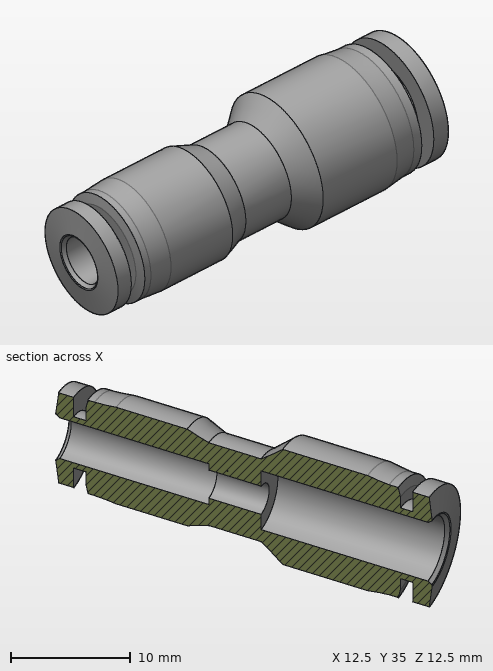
import cadquery as cq


total_length = 34.95
waist_dia = 9.0
waist_length = 4.85
through_hole_dia = 3.0
end_taper_length = 2.0
shoulder_length = 2.0
body_end_rise = 0.2
body_end_cone_width = 0.95

collar_crown = 0.28
neck_gap = 1.1
mouth_chamfer_depth = 0.4
mouth_lip = 0.12
mouth_lip_depth = 0.06

large_end = {
    "collar_dia": 11.9,
    "collar_back": 1.85,
    "neck_dia": 7.7,
    "rim_dia": 11.95,
    "rim_length": 0.85,
    "barrel_dia": 12.5,
    "mouth_dia": 7.1,
    "bore_dia": 6.3,
}
small_end = {
    "collar_dia": 9.8,
    "collar_back": 1.7,
    "neck_dia": 5.6,
    "rim_dia": 10.15,
    "rim_length": 0.65,
    "barrel_dia": 10.5,
    "mouth_dia": 5.1,
    "bore_dia": 4.35,
}

half_length = total_length / 2
large_waist_y = 1.6
small_waist_y = large_waist_y - waist_length


def outer_profile(end, waist_distance):
    """(radius, distance from the outer end) from the mouth inward to the waist."""
    body_face = end["collar_back"] + neck_gap
    rim_start = body_face + body_end_rise
    taper_start = rim_start + end["rim_length"]
    return [
        (end["mouth_dia"] / 2, 0),
        (end["collar_dia"] / 2, collar_crown),
        (end["collar_dia"] / 2, end["collar_back"]),
        (end["neck_dia"] / 2, end["collar_back"]),
        (end["neck_dia"] / 2, body_face),
        (end["rim_dia"] / 2 - body_end_cone_width, body_face),
        (end["rim_dia"] / 2, rim_start),
        (end["rim_dia"] / 2, taper_start),
        (end["barrel_dia"] / 2, taper_start + end_taper_length),
        (end["barrel_dia"] / 2, waist_distance - shoulder_length),
        (waist_dia / 2, waist_distance),
    ]


def bore_profile(end, waist_distance):
    """(radius, distance from the outer end) of the tube socket, mouth to tube stop."""
    return [
        (end["mouth_dia"] / 2, 0),
        (end["mouth_dia"] / 2 - mouth_lip, mouth_lip_depth),
        (end["bore_dia"] / 2, mouth_chamfer_depth),
        (end["bore_dia"] / 2, waist_distance),
        (through_hole_dia / 2, waist_distance),
    ]


def at_large_end(profile):
    return [(radius, half_length - distance) for radius, distance in profile]


def at_small_end(profile):
    return [(radius, distance - half_length) for radius, distance in profile]


large_waist_distance = half_length - large_waist_y
small_waist_distance = half_length + small_waist_y

large_outer = at_large_end(outer_profile(large_end, large_waist_distance))
small_outer = at_small_end(outer_profile(small_end, small_waist_distance))
large_bore = at_large_end(bore_profile(large_end, large_waist_distance))
small_bore = at_small_end(bore_profile(small_end, small_waist_distance))

section = large_outer + small_outer[::-1] + small_bore[1:] + large_bore[:0:-1]

result = cq.Workplane("XY").polyline(section).close().revolve(360, (0, 0, 0), (0, 1, 0))